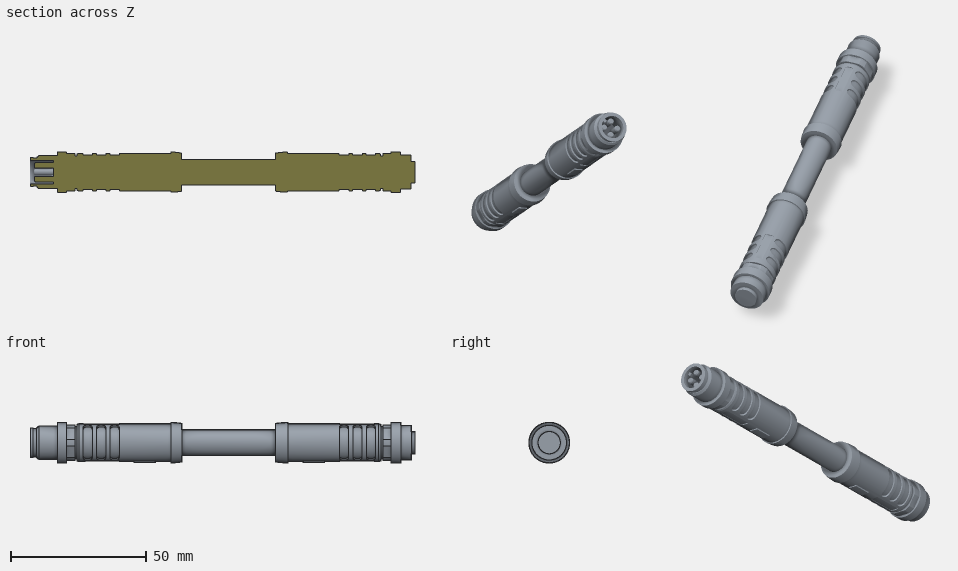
import cadquery as cq
import math

length = 142.0
x_start = -length / 2
x_end = length / 2

cable_d = 9.7
ring_d = 15.0
collar_end_d = 14.2
grip_d = 14.0
grip_rim_d = 13.5
neck_d = 12.0
neck_len = 0.7
nut_flats = 13.2
nut_corners_d = 14.0

tip_rim_len = 1.0
tip_rim_d = 11.0
tip_groove_len = 1.3
tip_groove_d = 10.5
tip_cone_len = 0.9
barrel_d = 12.4
pin_barrel_len = 6.8
pin_ring_len = 3.4
pin_nut_len = 3.1
pin_rim_len = 0.7
pin_grip_len = 34.6
pin_collar_len = 4.1

insert_d = 8.2
insert_len = 1.4
socket_barrel_d = 12.8
socket_barrel_len = 3.8
socket_ring_len = 3.7
socket_nut_len = 3.0
socket_rim_len = 0.9
socket_grip_len = 34.4
socket_collar_len = 4.5

bore_d = 8.4
bore_depth = 8.5
pin_count = 4
pin_d = 2.3
pin_tip_d = 1.5
pin_tip_len = 0.4
pin_circle_r = 2.5
pin_setback = 1.4
key_width = 1.1
key_tip_r = 3.0
key_angle = 45

slot_count = 3
slot_width = 3.4
slot_pitch = 5.0
slot_depth = 0.5
slot_inner_y = 2.7
pin_slot_offset = 4.0
socket_slot_offset = 3.7
panel_width = 3.1
panel_flat_z = 6.7
pin_panel_offset = 9.0
socket_panel_offset = 8.8
panel_corner = 0.7
pin_panel_len = 13.3
socket_panel_len = 13.0

pad_len = 8.0
pad_width = 3.1
pad_z = 7.4
pad_collar_gap = 5.7

pin_barrel_x = x_start + tip_rim_len + tip_groove_len + tip_cone_len
pin_ring_x = pin_barrel_x + pin_barrel_len
pin_nut_x = pin_ring_x + pin_ring_len
pin_neck_x = pin_nut_x + pin_nut_len
pin_grip_x = pin_neck_x + neck_len
pin_collar_x = pin_grip_x + pin_grip_len
pin_cable_x = pin_collar_x + pin_collar_len

socket_barrel_x = x_end - insert_len
socket_ring_x = socket_barrel_x - socket_barrel_len
socket_nut_x = socket_ring_x - socket_ring_len
socket_neck_x = socket_nut_x - socket_nut_len
socket_grip_x = socket_neck_x - neck_len
socket_collar_x = socket_grip_x - socket_grip_len
socket_cable_x = socket_collar_x - socket_collar_len


def rod(x_from, x_to, diameter):
    """Cylinder on the X axis between two stations."""
    x_low = min(x_from, x_to)
    return cq.Workplane("YZ", origin=(x_low, 0, 0)).circle(diameter / 2).extrude(abs(x_to - x_from))


def cone(x_from, d_from, x_to, d_to):
    """Truncated cone on the X axis between two stations."""
    points = [(x_from, 0), (x_from, d_from / 2), (x_to, d_to / 2), (x_to, 0)]
    return cq.Workplane("XY").polyline(points).close().revolve(360, (0, 0), (1, 0))


def hex_nut(x_from, x_to):
    """Hexagon with flats facing +Z and -Z and its corners turned round."""
    x_low = min(x_from, x_to)
    across_corners = nut_flats / math.cos(math.radians(30))
    hexagon = (
        cq.Workplane("YZ", origin=(x_low, 0, 0))
        .polygon(6, across_corners)
        .extrude(abs(x_to - x_from))
    )
    return hexagon.intersect(rod(x_from, x_to, nut_corners_d))


def collar(x_grip, x_cable):
    """Strain relief collar: full diameter beside the grip, rounding off towards the cable."""
    x_middle = (x_grip + x_cable) / 2
    drop = (ring_d - collar_end_d) / 2
    profile = (
        cq.Workplane("XY")
        .moveTo(x_grip, 0)
        .lineTo(x_grip, ring_d / 2)
        .threePointArc((x_middle, ring_d / 2 - drop / 4), (x_cable, collar_end_d / 2))
        .lineTo(x_cable, 0)
        .close()
    )
    return profile.revolve(360, (0, 0), (1, 0))


def grip_slots(first_x, pitch):
    """Round-ended finger slots wrapped around both sides of a grip."""
    radius = slot_width / 2
    outer_y = ring_d / 2
    floor = rod(x_start, x_end, grip_d - 2 * slot_depth)
    cutters = cq.Workplane("XY")
    for index in range(slot_count):
        x = first_x + index * pitch
        for side in (1, -1):
            inner_y = side * (slot_inner_y + radius)
            slot = (
                cq.Workplane("XY", origin=(0, 0, -ring_d / 2))
                .moveTo(x - radius, side * outer_y)
                .lineTo(x - radius, inner_y)
                .threePointArc((x, side * slot_inner_y), (x + radius, inner_y))
                .lineTo(x + radius, side * outer_y)
                .close()
                .extrude(ring_d)
            )
            cutters = cutters.add(slot.cut(floor))
    return cutters.combine()


def label_panels(x_center, panel_len):
    """Blocks above and below a grip that cut its two flat label panels."""
    height = grip_d / 2
    upper = (
        cq.Workplane("XY", origin=(x_center, 0, panel_flat_z))
        .rect(panel_len, panel_width)
        .extrude(height)
    )
    return upper.union(upper.mirror("XY"))


def raised_pad(x_center):
    """Low pad standing out from the underside of a grip."""
    return (
        cq.Workplane("XY", origin=(x_center, 0, -pad_z))
        .rect(pad_len, pad_width)
        .extrude(pad_z)
    )


def make_pin_plug():
    groove_x = x_start + tip_rim_len
    cone_x = groove_x + tip_groove_len
    rim_x = pin_grip_x + pin_rim_len
    slot_x = pin_grip_x + pin_slot_offset
    panel_x = pin_grip_x + pin_panel_offset
    pad_x = pin_collar_x - pad_collar_gap - pad_len / 2

    plug = (
        rod(x_start, groove_x, tip_rim_d)
        .union(rod(groove_x, cone_x, tip_groove_d))
        .union(cone(cone_x, tip_rim_d, pin_barrel_x, barrel_d))
        .union(rod(pin_barrel_x, pin_ring_x, barrel_d))
        .union(rod(pin_ring_x, pin_nut_x, ring_d))
        .union(hex_nut(pin_nut_x, pin_neck_x))
        .union(rod(pin_neck_x, pin_grip_x, neck_d))
        .union(cone(pin_grip_x, grip_rim_d, rim_x, grip_d))
        .union(rod(rim_x, pin_collar_x, grip_d))
        .union(collar(pin_collar_x, pin_cable_x))
        .union(raised_pad(pad_x))
    )
    panels = label_panels(panel_x, pin_panel_len).edges("|Z and <X").chamfer(panel_corner)
    plug = plug.cut(grip_slots(slot_x, slot_pitch)).cut(panels)
    return plug.cut(rod(x_start, x_start + bore_depth, bore_d)).union(contact_pins()).union(coding_key())


def contact_pins():
    """Pins with tapered tips standing on the floor of the bore."""
    tip_x = x_start + pin_setback
    shoulder_x = tip_x + pin_tip_len
    pin = cone(tip_x, pin_tip_d, shoulder_x, pin_d).union(rod(shoulder_x, x_start + bore_depth, pin_d))
    pin = pin.translate((0, 0, pin_circle_r))
    pins = pin
    for index in range(1, pin_count):
        pins = pins.union(pin.rotate((0, 0, 0), (1, 0, 0), index * 360 / pin_count))
    return pins


def coding_key():
    """Rib along the wall of the bore that fixes the mating angle."""
    root_r = (bore_d + tip_groove_d) / 4
    key = (
        cq.Workplane("YZ", origin=(x_start + pin_setback, 0, 0))
        .center((key_tip_r + root_r) / 2, 0)
        .rect(root_r - key_tip_r, key_width)
        .extrude(bore_depth - pin_setback)
    )
    return key.rotate((0, 0, 0), (1, 0, 0), key_angle)


def make_socket_plug():
    rim_x = socket_grip_x - socket_rim_len
    slot_x = socket_grip_x - socket_slot_offset
    panel_x = socket_grip_x - socket_panel_offset
    pad_x = socket_collar_x + pad_collar_gap + pad_len / 2

    plug = (
        rod(x_end, socket_barrel_x, insert_d)
        .union(rod(socket_barrel_x, socket_ring_x, socket_barrel_d))
        .union(rod(socket_ring_x, socket_nut_x, ring_d))
        .union(hex_nut(socket_nut_x, socket_neck_x))
        .union(rod(socket_neck_x, socket_grip_x, neck_d))
        .union(cone(socket_grip_x, grip_rim_d, rim_x, grip_d))
        .union(rod(rim_x, socket_collar_x, grip_d))
        .union(collar(socket_collar_x, socket_cable_x))
        .union(raised_pad(pad_x))
    )
    return plug.cut(grip_slots(slot_x, -slot_pitch)).cut(label_panels(panel_x, socket_panel_len))


cable = rod(pin_cable_x, socket_cable_x, cable_d)
result = make_pin_plug().union(cable).union(make_socket_plug())